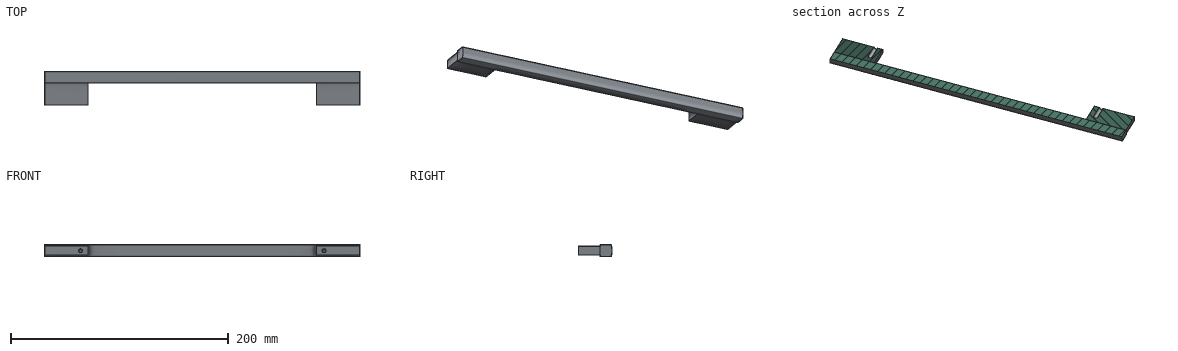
import cadquery as cq
import math

BAR_LENGTH = 290.0
BAR_HEIGHT = 11.0
BAR_DEPTH = 11.0
BACK_BOW = 1.0
EDGE_RADIUS = 0.5

LEG_WIDTH = 40.0
LEG_HEIGHT = 8.0
LEG_DEPTH = 20.0

HOLE_DIAMETER = 3.5
HOLE_DEPTH = 14.5
HOLE_FROM_BAR_END = 33.0
DRILL_POINT_ANGLE = 118.0


def make_bar():
    """Straight grip bar with a shallow arc across its back and four rounded long edges."""
    half_height = BAR_HEIGHT / 2
    back_edge = BAR_DEPTH - BACK_BOW
    block = (
        cq.Workplane("YZ")
        .workplane(offset=-BAR_LENGTH / 2)
        .moveTo(0, -half_height)
        .lineTo(back_edge, -half_height)
        .threePointArc((BAR_DEPTH, 0), (back_edge, half_height))
        .lineTo(0, half_height)
        .close()
        .extrude(BAR_LENGTH)
    )
    return block.edges("|X").fillet(EDGE_RADIUS)


def make_leg(side):
    """Rectangular leg at the left (side = -1) or right (side = 1) bar end."""
    leg_x = side * (BAR_LENGTH - LEG_WIDTH) / 2
    hole_x = side * (BAR_LENGTH / 2 - HOLE_FROM_BAR_END)
    block = cq.Workplane("XY").box(LEG_WIDTH, LEG_DEPTH, LEG_HEIGHT).translate((leg_x, -LEG_DEPTH / 2, 0))
    return block.cut(make_drilled_hole().translate((hole_x, -LEG_DEPTH, 0)))


def make_drilled_hole():
    """Cutter for a hole along +Y from the origin, ending in a drill cone."""
    radius = HOLE_DIAMETER / 2
    tip_depth = HOLE_DEPTH + radius / math.tan(math.radians(DRILL_POINT_ANGLE / 2))
    return (
        cq.Workplane("XY")
        .polyline([(0, 0), (radius, 0), (radius, HOLE_DEPTH), (0, tip_depth)])
        .close()
        .revolve(360, (0, 0), (0, 1))
    )


bar = make_bar()
legs = [make_leg(side) for side in (-1, 1)]

result = cq.Compound.makeCompound([bar.val(), *[leg.val() for leg in legs]])